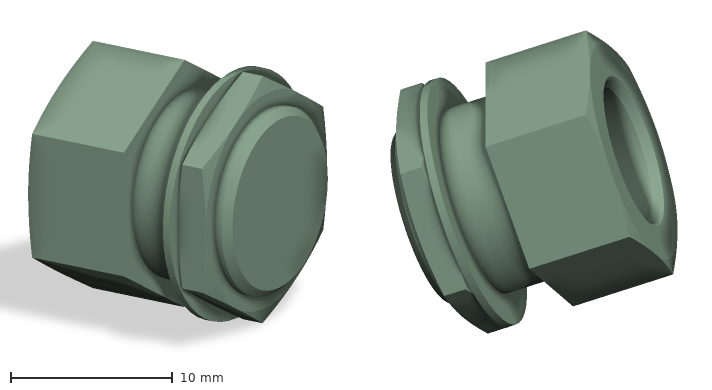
import cadquery as cq
import math

corner_diameter = 16.17
flat_width = corner_diameter * math.cos(math.radians(30))
corner_chamfer_angle = 15.0

head_length = 7.0
washer_start = 10.5
washer_thickness = 0.5
nut_start = washer_start + washer_thickness
nut_thickness = 2.0
total_length = 14.0

body_diameter = 12.0
body_chamfer = 0.5
washer_diameter = 16.0
bore_diameter = 8.57
bore_depth = 6.24
bore_mouth_diameter = 9.7
bore_mouth_depth = 0.57


def cylinder(start, length, diameter):
    return cq.Workplane("YZ", origin=(start, 0, 0)).circle(diameter / 2).extrude(length)


def hexagon(start, length, chamfer_far_end):
    """Hexagonal prism whose corners are turned down by a shallow cone at its ends."""
    prism = (
        cq.Workplane("YZ", origin=(start, 0, 0))
        .transformed(rotate=(0, 0, 90))
        .polygon(6, corner_diameter)
        .extrude(length)
    )
    face_radius = flat_width / 2
    corner_radius = corner_diameter / 2
    cone_length = (corner_radius - face_radius) * math.tan(math.radians(corner_chamfer_angle))
    end = start + length
    profile = [(start, 0), (start, face_radius), (start + cone_length, corner_radius)]
    if chamfer_far_end:
        profile += [(end - cone_length, corner_radius), (end, face_radius)]
    else:
        profile.append((end, corner_radius))
    profile.append((end, 0))
    envelope = cq.Workplane("XY").polyline(profile).close().revolve(360, (0, 0, 0), (1, 0, 0))
    return prism.intersect(envelope)


def bore():
    """Blind bore from the head face with a conical mouth."""
    bore_radius = bore_diameter / 2
    profile = [
        (0, 0),
        (0, bore_mouth_diameter / 2),
        (bore_mouth_depth, bore_radius),
        (bore_depth, bore_radius),
        (bore_depth, 0),
    ]
    return cq.Workplane("XY").polyline(profile).close().revolve(360, (0, 0, 0), (1, 0, 0))


head = hexagon(0, head_length, chamfer_far_end=False)
body = cylinder(head_length, total_length - head_length, body_diameter).faces(">X").chamfer(body_chamfer)
washer = cylinder(washer_start, washer_thickness, washer_diameter)
nut = hexagon(nut_start, nut_thickness, chamfer_far_end=True)

result = head.union(body).union(washer).union(nut).cut(bore())